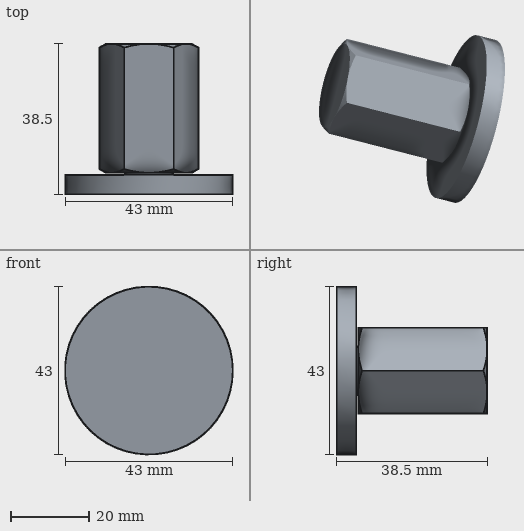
import cadquery as cq
import math

plate_diameter = 43.0
plate_thickness = 5.0

neck_diameter = 12.0
neck_length = 0.5

hex_across_flats = 22.0
hex_across_corners = hex_across_flats / math.cos(math.pi / 6)
hex_length = 33.0
hex_start = plate_thickness + neck_length
hex_end = hex_start + hex_length
end_face_diameter = hex_across_flats
chamfer_angle = math.radians(30)


def xz_plane_at(y):
    """Sketch plane at height y along the axis, with its normal along +Y."""
    return cq.Plane(origin=(0, y, 0), xDir=(1, 0, 0), normal=(0, 1, 0))


def make_plate():
    """Disc and neck in one revolved profile; a quarter-round flare fills the neck's root."""
    plate_radius = plate_diameter / 2
    neck_radius = neck_diameter / 2
    flare_radius = neck_length
    flare_offset = flare_radius * (1 - math.sqrt(0.5))
    return (
        cq.Workplane("XY")
        .lineTo(plate_radius, 0)
        .lineTo(plate_radius, plate_thickness)
        .lineTo(neck_radius + flare_radius, plate_thickness)
        .threePointArc(
            (neck_radius + flare_offset, plate_thickness + flare_offset),
            (neck_radius, hex_start),
        )
        .lineTo(0, hex_start)
        .close()
        .revolve(360, (0, 0), (0, 1))
    )


def make_hex_column():
    """Hexagonal prism with corners on the X axis, trimmed by a double-coned cylinder."""
    prism = cq.Workplane(xz_plane_at(hex_start)).polygon(6, hex_across_corners).extrude(hex_length)

    end_radius = end_face_diameter / 2
    corner_radius = hex_across_corners / 2
    chamfer_length = (corner_radius - end_radius) * math.tan(chamfer_angle)
    envelope = (
        cq.Workplane("XY")
        .moveTo(0, hex_start)
        .lineTo(end_radius, hex_start)
        .lineTo(corner_radius, hex_start + chamfer_length)
        .lineTo(corner_radius, hex_end - chamfer_length)
        .lineTo(end_radius, hex_end)
        .lineTo(0, hex_end)
        .close()
        .revolve(360, (0, 0), (0, 1))
    )
    return prism.intersect(envelope)


plate = make_plate()
hex_column = make_hex_column()

result = cq.Compound.makeCompound([plate.val(), hex_column.val()])